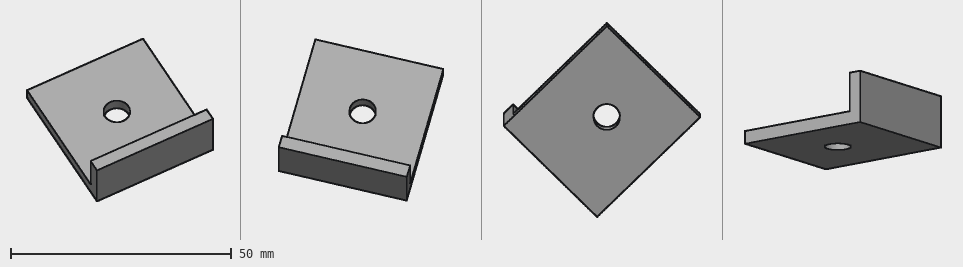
import cadquery as cq

length = 33.0
width = 30.0
height = 12.0

thickness = 3.0
hole_diameter = 6.0

plate_length = length - thickness


def make_base():
    """Flat leg lying on Z = 0, centred on Y."""
    return cq.Workplane("XY").box(length, width, thickness, centered=(False, True, False))


def make_upright():
    """Vertical leg along the +X edge."""
    return (
        cq.Workplane("XY")
        .box(thickness, width, height, centered=(False, True, False))
        .translate((plate_length, 0, 0))
    )


def make_hole():
    """Through hole at the middle of the exposed plate."""
    return (
        cq.Workplane("XY")
        .center(plate_length / 2, 0)
        .circle(hole_diameter / 2)
        .extrude(thickness)
    )


result = make_base().union(make_upright()).cut(make_hole())